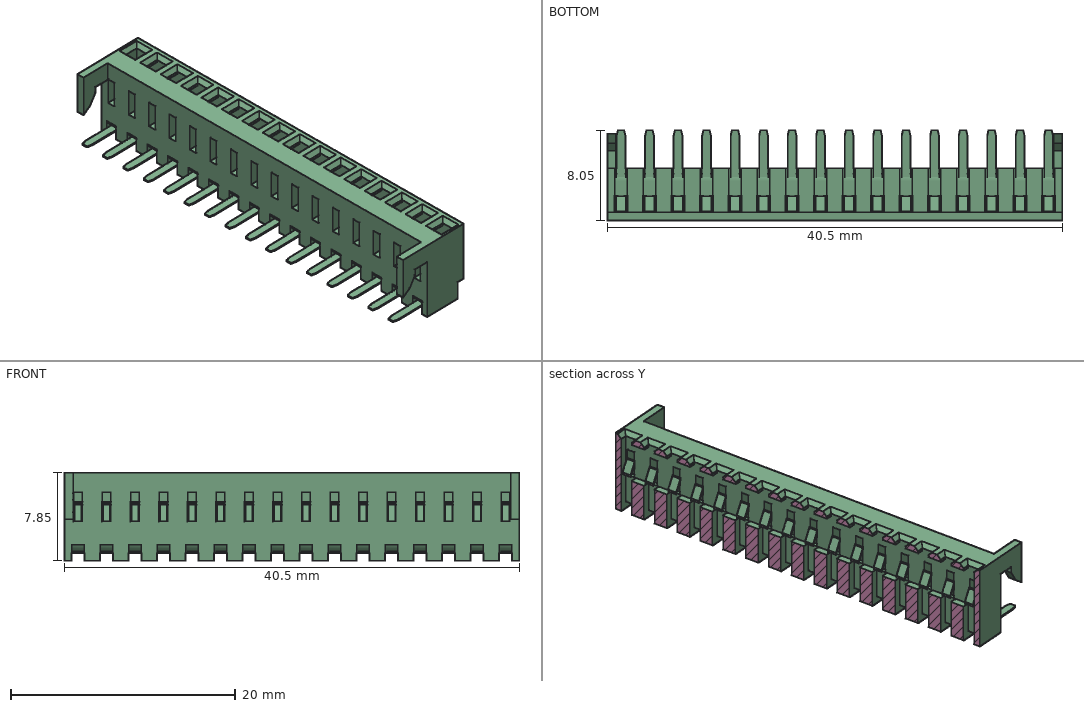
import cadquery as cq
import math

length = 40.55
height = 7.85
overall_depth = 8.05
body_depth = 4.65
contact_count = 16
end_margin = 1.2
pitch = (length - 2 * end_margin) / (contact_count - 1)

step_depth = 0.73
step_height = 1.82

arm_width = 0.75
arm_reach = 3.1
arm_drop = 1.82
hook_start = 1.55
hook_side_drop = 2.45
hook_knee_reach = 2.23
hook_knee_drop = 3.53
hook_tip_drop = 4.15

cavity_width = 1.15
cavity_depth = 1.35
cavity_rear_offset = 1.5
cavity_center_y = body_depth - cavity_rear_offset
cavity_front_y = cavity_center_y - cavity_depth / 2
cavity_rear_y = cavity_center_y + cavity_depth / 2
funnel_inset = 0.4

top_plate_thickness = 0.65

slot_height = 0.7
mouth_height = 1.45
mouth_run = 1.1

window_width = 0.75
window_bottom = 3.53
window_top = 6.12

metal_thickness = 0.12
pin_width = 0.8
pin_bottom = 0.73
pin_reach = overall_depth - body_depth
pin_embed = 1.62
pin_tip_width = 0.55
pin_tip_length = 0.53
spring_front_width = 0.6
spring_rear_width = 0.9
spring_apex_z = 5.25
spring_foot_y = 2.0
spring_rear_angle = 61.0

contact_xs = [end_margin - length / 2 + i * pitch for i in range(contact_count)]


def extrude_across(sketch, width, center_x):
    """Extrude a YZ outline along X, centred on center_x."""
    return sketch.extrude(width / 2, both=True).translate((center_x, 0, 0))


def block(width, y_range, z_range):
    """Box centred on X between the given Y and Z limits."""
    size_y = y_range[1] - y_range[0]
    size_z = z_range[1] - z_range[0]
    return (
        cq.Workplane("XY")
        .box(width, size_y, size_z, centered=(True, False, False))
        .translate((0, y_range[0], z_range[0]))
    )


def make_housing():
    outline = (
        cq.Workplane("YZ")
        .moveTo(0, 0)
        .lineTo(body_depth - step_depth, 0)
        .lineTo(body_depth - step_depth, step_height)
        .lineTo(body_depth, step_height)
        .lineTo(body_depth, height)
        .lineTo(0, height)
        .close()
    )
    return extrude_across(outline, length, 0)


def make_arm(center_x):
    outline = (
        cq.Workplane("YZ")
        .moveTo(0, height)
        .lineTo(-arm_reach, height)
        .lineTo(-arm_reach, height - hook_tip_drop)
        .lineTo(-hook_knee_reach, height - hook_knee_drop)
        .lineTo(-hook_start, height - hook_side_drop)
        .lineTo(-hook_start, height - arm_drop)
        .lineTo(0, height - arm_drop)
        .close()
    )
    return extrude_across(outline, arm_width, center_x)


def make_contact_void():
    """Everything removed for one contact: cavity, funnel, window and bottom slot."""
    cavity = block(cavity_width, (cavity_front_y, cavity_rear_y), (0, height))
    funnel = (
        cq.Workplane("XY", origin=(0, cavity_center_y, height))
        .rect(cavity_width + 2 * funnel_inset, cavity_depth + 2 * funnel_inset)
        .workplane(offset=-funnel_inset)
        .rect(cavity_width, cavity_depth)
        .loft(ruled=True)
    )
    window = block(window_width, (0, cavity_center_y), (window_bottom, window_top))
    slot_outline = (
        cq.Workplane("YZ")
        .moveTo(0, 0)
        .lineTo(body_depth, 0)
        .lineTo(body_depth, slot_height)
        .lineTo(mouth_run, slot_height)
        .tangentArcPoint((0, mouth_height), relative=False)
        .close()
    )
    slot = extrude_across(slot_outline, cavity_width, 0)
    return cavity.union(funnel).union(window).union(slot)


def make_passage():
    """Space running along the row through every cavity, from window sill to top plate."""
    passage_length = (contact_count - 1) * pitch + cavity_width
    z_range = (window_bottom, height - top_plate_thickness)
    return block(passage_length, (cavity_front_y, cavity_rear_y), z_range)


def make_pin():
    shoulder_y = pin_tip_length - pin_reach
    return (
        cq.Workplane("XY", origin=(0, 0, pin_bottom))
        .moveTo(-pin_width / 2, pin_embed)
        .lineTo(-pin_width / 2, shoulder_y)
        .lineTo(-pin_tip_width / 2, -pin_reach)
        .lineTo(pin_tip_width / 2, -pin_reach)
        .lineTo(pin_width / 2, shoulder_y)
        .lineTo(pin_width / 2, pin_embed)
        .close()
        .extrude(metal_thickness)
    )


def make_spring():
    """Bent strip rising from the window sill to an apex, then falling across the cavity."""
    front_leg = (
        cq.Workplane("YZ")
        .moveTo(spring_foot_y, window_bottom)
        .lineTo(spring_foot_y, window_bottom + metal_thickness)
        .lineTo(cavity_front_y, spring_apex_z)
        .lineTo(cavity_front_y, spring_apex_z - metal_thickness)
        .lineTo(spring_foot_y + metal_thickness, window_bottom)
        .close()
    )
    fall = cavity_depth * math.tan(math.radians(spring_rear_angle))
    strip_height = metal_thickness / math.cos(math.radians(spring_rear_angle))
    rear_leg = (
        cq.Workplane("YZ")
        .moveTo(cavity_front_y, spring_apex_z)
        .lineTo(cavity_rear_y, spring_apex_z - fall)
        .lineTo(cavity_rear_y, spring_apex_z - fall - strip_height)
        .lineTo(cavity_front_y, spring_apex_z - strip_height)
        .close()
    )
    front_strip = extrude_across(front_leg, spring_front_width, 0)
    rear_strip = extrude_across(rear_leg, spring_rear_width, 0)
    return front_strip.union(rear_strip)


result = make_housing()
for side in (-1, 1):
    result = result.union(make_arm(side * (length - arm_width) / 2))

result = result.cut(make_passage())

contact_void = make_contact_void()
contact_metal = make_pin().union(make_spring())
for x in contact_xs:
    result = result.cut(contact_void.translate((x, 0, 0)))
    result = result.union(contact_metal.translate((x, 0, 0)))